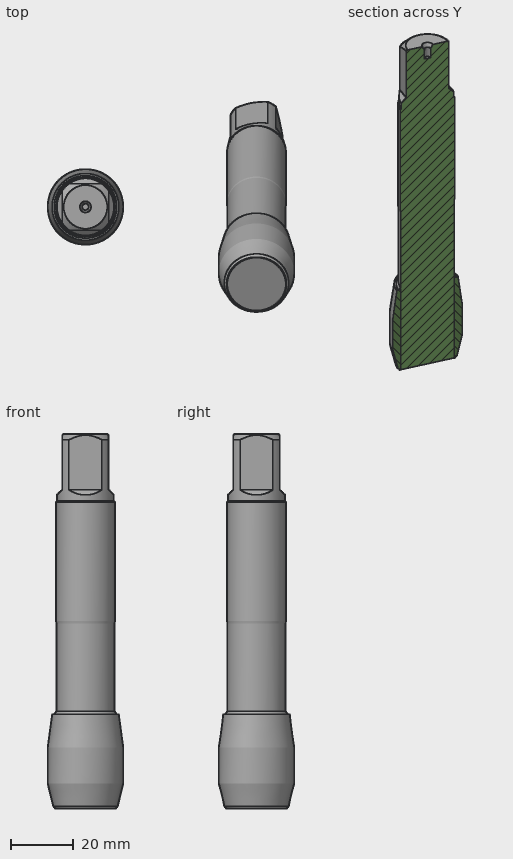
import cadquery as cq

total_height = 120.0

neck_dia = 18.7
drive_dia = 18.2
shank_dia = 19.0
shank_bottom = 59.4
shank_top = 98.5
shank_bottom_bevel = 0.7
shank_top_bevel = 0.5

across_flats = 14.9
flat_bottom = 102.1
tip_dia = 13.9
tip_bevel_height = 1.9

center_hole_dia = 2.0
countersink_dia = 3.6
countersink_angle = 60.0
center_hole_depth = 4.8

sleeve_dia = 24.2
sleeve_bottom_dia = 19.2
sleeve_lower_dia = 20.6
sleeve_top_dia = 21.4
lower_cone_bottom = 0.8
lower_cone_top = 8.2
upper_cone_bottom = 19.7
sleeve_top = 30.4

collar_dia = 20.0
collar_height = 0.8


def revolve_profile(points):
    """Revolve a closed (radius, height) outline about the Z axis."""
    return cq.Workplane("XZ").polyline(points).close().revolve(360, (0, 0, 0), (0, 1, 0))


def turned_shaft():
    neck_r = neck_dia / 2
    drive_r = drive_dia / 2
    shank_r = shank_dia / 2
    return revolve_profile([
        (0, 0),
        (neck_r, 0),
        (neck_r, sleeve_top),
        (collar_dia / 2, sleeve_top),
        (neck_r, sleeve_top + collar_height),
        (neck_r, shank_bottom),
        (shank_r, shank_bottom + shank_bottom_bevel),
        (shank_r, shank_top - shank_top_bevel),
        (drive_r, shank_top),
        (drive_r, total_height - tip_bevel_height),
        (tip_dia / 2, total_height),
        (0, total_height),
    ])


def flat_cutter():
    """Waste beside the +X drive flat, with a 45 degree run-out at its lower end."""
    inner = across_flats / 2
    outer = shank_dia / 2
    run_out = outer - inner
    return (
        cq.Workplane("XZ")
        .polyline([
            (inner, flat_bottom),
            (outer, flat_bottom - run_out),
            (outer, total_height),
            (inner, total_height),
        ])
        .close()
        .extrude(outer, both=True)
    )


def make_shaft():
    shaft = turned_shaft()
    for side in range(4):
        shaft = shaft.cut(flat_cutter().rotate((0, 0, 0), (0, 0, 1), 90 * side))
    return shaft.faces(">Z").workplane().cskHole(
        center_hole_dia, countersink_dia, countersink_angle, center_hole_depth
    )


def make_sleeve():
    bore_r = neck_dia / 2
    return revolve_profile([
        (bore_r, 0),
        (sleeve_bottom_dia / 2, 0),
        (sleeve_lower_dia / 2, lower_cone_bottom),
        (sleeve_dia / 2, lower_cone_top),
        (sleeve_dia / 2, upper_cone_bottom),
        (sleeve_top_dia / 2, sleeve_top),
        (bore_r, sleeve_top),
    ])


shaft = make_shaft()
sleeve = make_sleeve()

result = cq.Compound.makeCompound([shaft.val(), sleeve.val()])